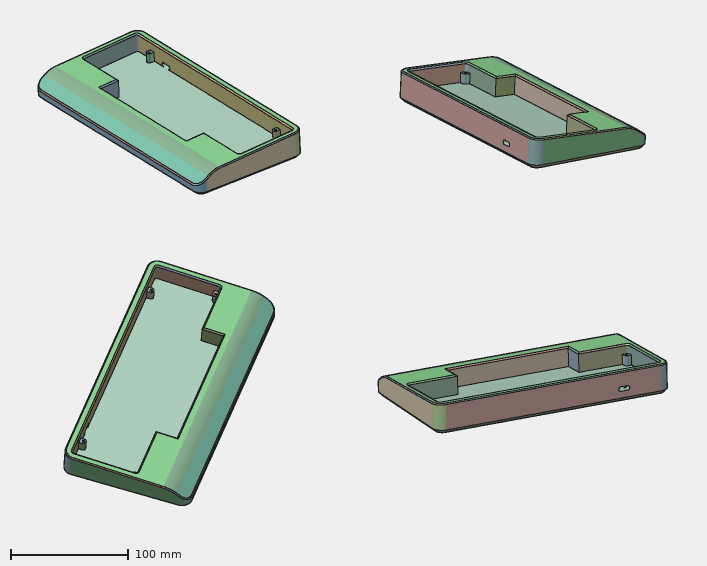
import cadquery as cq
import math

WIDTH = 224.55
DEPTH = 115.83
CORNER_RADIUS = 9.2
FOOT_CHAMFER = 3.4
EDGE_CHAMFER = 1.0

DECK_ANGLE = 3.0
PALM_ANGLE = 35.9
BEND_RADIUS = 23.1
DECK_FRONT_Y = -34.8
DECK_FRONT_Z = 22.28

CAVITY_WIDTH = 211.7
CAVITY_FRONT = 25.9
CAVITY_BACK = 84.7
NOTCH_WIDTH = 116.2
NOTCH_FRONT = 6.8
CAVITY_DEPTH = 17.6
CAVITY_CORNER_RADIUS = 2.0
RIM_CHAMFER = 1.3

POST_DIAMETER = 5.0
POST_HEIGHT = 9.0
SCREW_DIAMETER = 1.8
SCREW_DEPTH = 6.0
BACK_POST_X = 85.8
BACK_POST_INSET = 3.3
FRONT_POST_SIDE_INSET = 3.5
FRONT_POST_FRONT_INSET = 3.2

CABLE_X = -67.5
CABLE_WIDTH = 10.5
CABLE_HEIGHT = 4.0
CABLE_CUT_START = 1.0
CABLE_CUT_LENGTH = 20.0

HALF_DEPTH = DEPTH / 2
deck_angle = math.radians(DECK_ANGLE)
palm_angle = math.radians(PALM_ANGLE)


def bend_point(angle):
    """Point (y, z) of the bend where the surface falls forward at the given angle."""
    return (
        DECK_FRONT_Y - BEND_RADIUS * (math.sin(angle) - math.sin(deck_angle)),
        DECK_FRONT_Z - BEND_RADIUS * (math.cos(deck_angle) - math.cos(angle)),
    )


def to_deck(shape):
    """Turn the case so its deck lies flat in Z = 0 with the deck's front end at Y = 0."""
    moved = shape.translate((0, -DECK_FRONT_Y, -DECK_FRONT_Z))
    return moved.rotate((0, 0, 0), (1, 0, 0), -DECK_ANGLE)


def from_deck(shape):
    """Undo to_deck, so the case stands on its foot again."""
    tilted = shape.rotate((0, 0, 0), (1, 0, 0), DECK_ANGLE)
    return tilted.translate((0, DECK_FRONT_Y, DECK_FRONT_Z))


def case_profile():
    """Side profile whose end walls stand square to the deck and so lean forward."""
    slope = math.tan(deck_angle)
    palm_slope = math.tan(palm_angle)
    palm_top_y, palm_top_z = bend_point(palm_angle)

    front_reach_z = palm_top_z - (palm_top_y + HALF_DEPTH) * palm_slope - EDGE_CHAMFER
    front_bottom_y = slope * front_reach_z - HALF_DEPTH
    palm_height_at_front = palm_top_z - palm_slope * (palm_top_y - front_bottom_y)
    front_top_z = palm_height_at_front / (1 + slope * palm_slope)
    front_top_y = front_bottom_y - slope * front_top_z

    back_bottom_y = HALF_DEPTH + slope * FOOT_CHAMFER
    deck_height_at_back = DECK_FRONT_Z + slope * (back_bottom_y - DECK_FRONT_Y)
    back_top_z = deck_height_at_back / (1 + slope**2)
    back_top_y = back_bottom_y - slope * back_top_z

    return (
        cq.Workplane("YZ")
        .moveTo(front_bottom_y, 0)
        .lineTo(back_bottom_y, 0)
        .lineTo(back_top_y, back_top_z)
        .lineTo(DECK_FRONT_Y, DECK_FRONT_Z)
        .threePointArc(bend_point((deck_angle + palm_angle) / 2), (palm_top_y, palm_top_z))
        .lineTo(front_top_y, front_top_z)
        .close()
    )


def make_body():
    body = case_profile().extrude(WIDTH / 2, both=True)
    upright = cq.Vector(0, -math.sin(deck_angle), math.cos(deck_angle))
    body = body.edges(cq.selectors.ParallelDirSelector(upright)).fillet(CORNER_RADIUS)
    body = body.faces("<Z").chamfer(FOOT_CHAMFER)
    return body.edges("|X and >Z").chamfer(EDGE_CHAMFER)


def cut_cavity(case):
    """Sink the stepped cavity square to the deck and chamfer its rim."""
    cavity = (
        cq.Workplane("XY")
        .moveTo(-CAVITY_WIDTH / 2, CAVITY_FRONT)
        .lineTo(-NOTCH_WIDTH / 2, CAVITY_FRONT)
        .lineTo(-NOTCH_WIDTH / 2, NOTCH_FRONT)
        .lineTo(NOTCH_WIDTH / 2, NOTCH_FRONT)
        .lineTo(NOTCH_WIDTH / 2, CAVITY_FRONT)
        .lineTo(CAVITY_WIDTH / 2, CAVITY_FRONT)
        .lineTo(CAVITY_WIDTH / 2, CAVITY_BACK)
        .lineTo(-CAVITY_WIDTH / 2, CAVITY_BACK)
        .close()
        .extrude(-CAVITY_DEPTH)
    )
    wide_end = cavity.edges("|Z and (<X or >X)")
    case = case.cut(wide_end.fillet(CAVITY_CORNER_RADIUS))
    rim = case.faces(">Z").val().innerWires()[0]
    return case.newObject(rim.Edges()).chamfer(RIM_CHAMFER)


def block(corner_x, corner_y, opposite_x, opposite_y):
    """Post-high block on the cavity floor between two opposite corners."""
    center = ((corner_x + opposite_x) / 2, (corner_y + opposite_y) / 2, -CAVITY_DEPTH)
    size_x = abs(opposite_x - corner_x)
    size_y = abs(opposite_y - corner_y)
    return cq.Workplane("XY", origin=center).rect(size_x, size_y).extrude(POST_HEIGHT)


def add_post(case, x, y, wall_blocks):
    """Add a round screw post, tied to the cavity walls by the given blocks."""
    floor = cq.Workplane("XY", origin=(x, y, -CAVITY_DEPTH))
    post = floor.circle(POST_DIAMETER / 2).extrude(POST_HEIGHT)
    for wall_block in wall_blocks:
        post = post.union(wall_block)
    post_top = floor.workplane(offset=POST_HEIGHT)
    screw_hole = post_top.circle(SCREW_DIAMETER / 2).extrude(-SCREW_DEPTH)
    return case.union(post).cut(screw_hole)


def add_posts(case):
    radius = POST_DIAMETER / 2
    back_y = CAVITY_BACK - BACK_POST_INSET
    front_y = CAVITY_FRONT + FRONT_POST_FRONT_INSET
    for side in (-1, 1):
        back_x = side * BACK_POST_X
        to_back = block(back_x - radius, back_y, back_x + radius, CAVITY_BACK)
        case = add_post(case, back_x, back_y, [to_back])

        wall_x = side * CAVITY_WIDTH / 2
        front_x = wall_x - side * FRONT_POST_SIDE_INSET
        to_side = block(wall_x, CAVITY_FRONT, front_x, front_y + radius)
        to_front = block(wall_x, CAVITY_FRONT, front_x - side * radius, front_y)
        case = add_post(case, front_x, front_y, [to_side, to_front])
    return case


def cut_cable_opening(case):
    """Cut a slot through the back wall, resting on the cavity floor."""
    center = (CABLE_X, CAVITY_BACK - CABLE_CUT_START, CABLE_HEIGHT / 2 - CAVITY_DEPTH)
    slot = cq.Workplane("XZ", origin=center).slot2D(CABLE_WIDTH, CABLE_HEIGHT)
    return case.cut(slot.extrude(-CABLE_CUT_LENGTH))


case = to_deck(make_body())
case = cut_cavity(case)
case = add_posts(case)
case = cut_cable_opening(case)
result = from_deck(case)